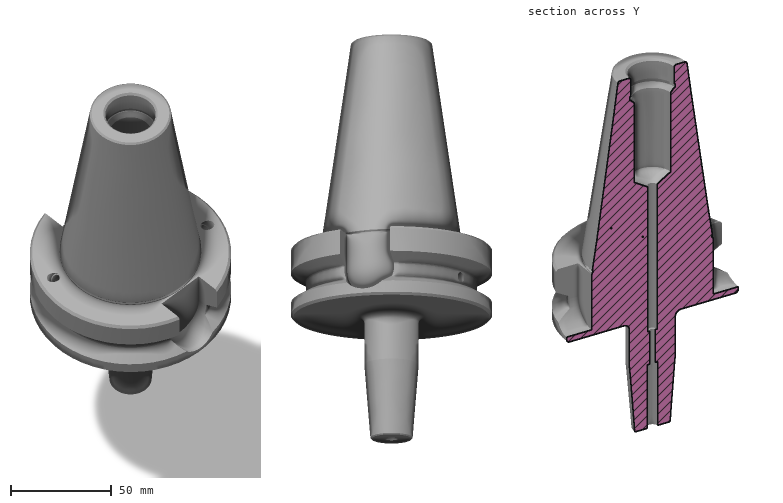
import cadquery as cq
import math

AXIS_START = (0, 0)
AXIS_END = (0, 1)

GAUGE_RADIUS = 69.85 / 2
TAPER_SLOPE = 7 / 48
TAPER_TOP = 101.8
TAPER_TOP_RADIUS = GAUGE_RADIUS - TAPER_SLOPE * TAPER_TOP
TAPER_CHAMFER = 0.8
TAPER_BOTTOM = -1.2
TAPER_BOTTOM_RADIUS = GAUGE_RADIUS - TAPER_SLOPE * TAPER_BOTTOM
UNDERCUT_RADIUS = 34.6
UNDERCUT_CENTER = -1.9
COLLAR_RADIUS = 35.2
COLLAR_TOP = -2.5

FLANGE_RADIUS = 50.0
FLANGE_TOP = -3.0
FLANGE_BOTTOM = -38.0
FLANGE_CHAMFER = 1.2
GROOVE_CENTER = -23.4
GROOVE_FLOOR_RADIUS = 42.5
GROOVE_FLOOR_HALF_WIDTH = 3.2
GROOVE_FLOOR_FILLET = 0.7
GROOVE_WALL_ANGLE = math.radians(30)
GROOVE_MOUTH_HALF_WIDTH = (
    GROOVE_FLOOR_HALF_WIDTH
    + (FLANGE_RADIUS - GROOVE_FLOOR_RADIUS) * math.tan(GROOVE_WALL_ANGLE)
)

NOSE_BOTTOM = -100.0
NOSE_RADIUS = 27.0 / 2
NOSE_TIP_RADIUS = 21.0 / 2
NOSE_TAPER_START = -62.2
NOSE_CHAMFER = 0.6
NOSE_FILLET = 3.0

SLOT_RADIUS = 25.7 / 2
SLOT_FLOOR_X = 35.4
SLOT_BOTTOM = -34.6

PILOT_RADIUS = 25.0 / 2
PILOT_DEPTH = 11.0
PILOT_CHAMFER = 1.0
PILOT_RELIEF_RADIUS = 13.0
PILOT_RELIEF_WIDTH = 1.8
LEAD_IN_ANGLE = math.radians(40)
THREAD_RADIUS = 21.0 / 2
THREAD_DEPTH = 60.0
DRILL_POINT_ANGLE = math.radians(59)
PASSAGE_RADIUS = 2.6
ORIFICE_RADIUS = 1.4
ORIFICE_TOP = -45.0
TOOL_BORE_RADIUS = 6.0 / 2
TOOL_BORE_DEPTH = 36.0

COOLANT_ANGLES = (70, 250)
COOLANT_ENTRY_RADIUS = 41.8
COOLANT_TILT = math.radians(35)
COOLANT_RADIUS = 2.9
COOLANT_SEAT_DEPTH = 2.0
COOLANT_DRILL_RADIUS = 2.2
COOLANT_DRILL_DEPTH = 25.0
CROSS_HOLE_RADIUS = 2.5
CROSS_HOLE_DEPTH = 6.5
CROSS_HOLE_LEAD = 1.0


def revolve(outline):
    return outline.close().revolve(360, AXIS_START, AXIS_END)


def fillet_groove_floor(body):
    """Round the two corners where the groove floor meets its sloping walls."""
    half_box = GROOVE_FLOOR_RADIUS + GROOVE_FLOOR_FILLET
    corner_picker = cq.selectors.BoxSelector(
        (-half_box, -half_box, GROOVE_CENTER - GROOVE_FLOOR_HALF_WIDTH - GROOVE_FLOOR_FILLET),
        (half_box, half_box, GROOVE_CENTER + GROOVE_FLOOR_HALF_WIDTH + GROOVE_FLOOR_FILLET),
    )
    return body.edges("%CIRCLE").edges(corner_picker).fillet(GROOVE_FLOOR_FILLET)


def make_body():
    fillet_mid = NOSE_FILLET * (1 - math.sqrt(0.5))
    outline = (
        cq.Workplane("YZ")
        .moveTo(0, TAPER_TOP)
        .lineTo(TAPER_TOP_RADIUS - TAPER_CHAMFER, TAPER_TOP)
        .lineTo(TAPER_TOP_RADIUS + TAPER_SLOPE * TAPER_CHAMFER, TAPER_TOP - TAPER_CHAMFER)
        .lineTo(TAPER_BOTTOM_RADIUS, TAPER_BOTTOM)
        .lineTo(UNDERCUT_RADIUS, UNDERCUT_CENTER)
        .lineTo(COLLAR_RADIUS, COLLAR_TOP)
        .lineTo(COLLAR_RADIUS, FLANGE_TOP)
        .lineTo(FLANGE_RADIUS - FLANGE_CHAMFER, FLANGE_TOP)
        .lineTo(FLANGE_RADIUS, FLANGE_TOP - FLANGE_CHAMFER)
        .lineTo(FLANGE_RADIUS, GROOVE_CENTER + GROOVE_MOUTH_HALF_WIDTH)
        .lineTo(GROOVE_FLOOR_RADIUS, GROOVE_CENTER + GROOVE_FLOOR_HALF_WIDTH)
        .lineTo(GROOVE_FLOOR_RADIUS, GROOVE_CENTER - GROOVE_FLOOR_HALF_WIDTH)
        .lineTo(FLANGE_RADIUS, GROOVE_CENTER - GROOVE_MOUTH_HALF_WIDTH)
        .lineTo(FLANGE_RADIUS, FLANGE_BOTTOM + FLANGE_CHAMFER)
        .lineTo(FLANGE_RADIUS - FLANGE_CHAMFER, FLANGE_BOTTOM)
        .lineTo(NOSE_RADIUS + NOSE_FILLET, FLANGE_BOTTOM)
        .threePointArc(
            (NOSE_RADIUS + fillet_mid, FLANGE_BOTTOM - fillet_mid),
            (NOSE_RADIUS, FLANGE_BOTTOM - NOSE_FILLET),
        )
        .lineTo(NOSE_RADIUS, NOSE_TAPER_START)
        .lineTo(NOSE_TIP_RADIUS, NOSE_BOTTOM + NOSE_CHAMFER)
        .lineTo(NOSE_TIP_RADIUS - NOSE_CHAMFER, NOSE_BOTTOM)
        .lineTo(0, NOSE_BOTTOM)
    )
    return fillet_groove_floor(revolve(outline))


def make_axial_bore():
    relief_bottom = TAPER_TOP - PILOT_DEPTH - PILOT_RELIEF_WIDTH
    thread_top = relief_bottom - (PILOT_RADIUS - THREAD_RADIUS) / math.tan(LEAD_IN_ANGLE)
    thread_bottom = TAPER_TOP - THREAD_DEPTH
    cone_bottom = thread_bottom - (THREAD_RADIUS - PASSAGE_RADIUS) / math.tan(DRILL_POINT_ANGLE)
    tool_bore_top = NOSE_BOTTOM + TOOL_BORE_DEPTH
    outline = (
        cq.Workplane("YZ")
        .moveTo(0, TAPER_TOP)
        .lineTo(PILOT_RADIUS + PILOT_CHAMFER, TAPER_TOP)
        .lineTo(PILOT_RADIUS, TAPER_TOP - PILOT_CHAMFER)
        .lineTo(PILOT_RADIUS, TAPER_TOP - PILOT_DEPTH)
        .lineTo(PILOT_RELIEF_RADIUS, TAPER_TOP - PILOT_DEPTH)
        .lineTo(PILOT_RELIEF_RADIUS, relief_bottom)
        .lineTo(PILOT_RADIUS, relief_bottom)
        .lineTo(THREAD_RADIUS, thread_top)
        .lineTo(THREAD_RADIUS, thread_bottom)
        .lineTo(PASSAGE_RADIUS, cone_bottom)
        .lineTo(PASSAGE_RADIUS, ORIFICE_TOP)
        .lineTo(ORIFICE_RADIUS, ORIFICE_TOP)
        .lineTo(ORIFICE_RADIUS, tool_bore_top)
        .lineTo(TOOL_BORE_RADIUS, tool_bore_top)
        .lineTo(TOOL_BORE_RADIUS, NOSE_BOTTOM)
        .lineTo(0, NOSE_BOTTOM)
    )
    return revolve(outline)


def make_key_slot(side):
    """Round-bottomed slot, open to the top and outside; side is +1 or -1 along X."""
    length = FLANGE_RADIUS - SLOT_FLOOR_X
    arc_center = SLOT_BOTTOM + SLOT_RADIUS
    return (
        cq.Workplane("YZ", origin=(side * SLOT_FLOOR_X, 0, 0))
        .moveTo(-SLOT_RADIUS, FLANGE_TOP)
        .lineTo(-SLOT_RADIUS, arc_center)
        .threePointArc((0, SLOT_BOTTOM), (SLOT_RADIUS, arc_center))
        .lineTo(SLOT_RADIUS, FLANGE_TOP)
        .close()
        .extrude(side * length)
    )


def drill(radius, start, direction, depth, lead=0.0):
    """Cylinder from start along direction, extended backwards by lead."""
    base = cq.Vector(*start) - cq.Vector(*direction) * lead
    return cq.Workplane(cq.Solid.makeCylinder(radius, depth + lead, base, cq.Vector(*direction)))


def make_coolant_drilling(angle):
    """Stepped oblique hole from the flange face and a radial hole from the groove floor."""
    entry = (COOLANT_ENTRY_RADIUS, 0, FLANGE_TOP)
    inward = (-math.sin(COOLANT_TILT), 0, -math.cos(COOLANT_TILT))
    seat = drill(COOLANT_RADIUS, entry, inward, COOLANT_SEAT_DEPTH, COOLANT_RADIUS)
    oblique = drill(COOLANT_DRILL_RADIUS, entry, inward, COOLANT_DRILL_DEPTH)
    cross_start = (GROOVE_FLOOR_RADIUS, 0, GROOVE_CENTER)
    cross = drill(CROSS_HOLE_RADIUS, cross_start, (-1, 0, 0), CROSS_HOLE_DEPTH, CROSS_HOLE_LEAD)
    drilling = seat.union(oblique).union(cross)
    return drilling.rotate((0, 0, 0), (0, 0, 1), angle)


result = make_body().cut(make_axial_bore())
for slot_side in (1, -1):
    result = result.cut(make_key_slot(slot_side))
for coolant_angle in COOLANT_ANGLES:
    result = result.cut(make_coolant_drilling(coolant_angle))